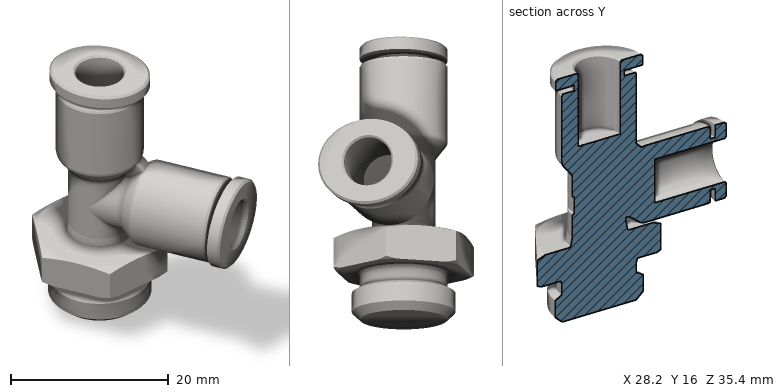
import cadquery as cq
import math

total_height = 35.35
branch_height = 16.4
branch_reach = total_height - branch_height

thread_radius = 6.58
thread_chamfer_height = 1.0
thread_chamfer_width = 1.05
thread_top = 3.43
relief_bottom = 4.0
relief_radius = 5.6
relief_top = 5.5
relief_flare = 0.18

hex_bottom = 5.97
hex_top = 10.5
hex_flats = 16.0
hex_corner_radius = hex_flats / math.sqrt(3)
hex_top_circle = hex_flats / 2
hex_top_drop = 0.45
hex_bottom_circle = 8.63
hex_bottom_drop = 0.3

neck_radius = 4.03
neck_foot_radius = 4.25
neck_taper_top = 11.85
neck_fillet = 0.25

body_radius = 5.6
shoulder_depth = 12.55
shoulder_foot_depth = 14.53
shoulder_round = 1.0
body_end_depth = 2.37
body_chamfer_depth = 0.32
body_chamfer_width = 0.18
collar_radius = 3.75
flange_depth = 1.65
flange_long_radius = 6.5
flange_short_radius = 5.5
flange_chamfer = 0.3
bore_radius = 3.1
bore_chamfer = 0.25
bore_depth = 10.6

rib_thickness = 2.05
rib_root = 3.7
rib_edge_intercept = 11.8

recess_floor_distance = 3.7
recess_floor_height = 2.25
recess_mouth_height = 2.6


def fitting(length):
    """Fitting and neck on the Z axis, from Z = 0 up to its tip at Z = length."""
    slope_height = shoulder_foot_depth - shoulder_depth
    slope_angle = math.atan2(body_radius - neck_radius, slope_height)
    tangent = shoulder_round * math.tan(slope_angle / 2)
    tangent_out = tangent * math.sin(slope_angle)
    tangent_up = tangent * math.cos(slope_angle)
    shoulder_foot = length - shoulder_foot_depth
    shoulder = length - shoulder_depth
    body_end = length - body_end_depth
    flange_bottom = length - flange_depth

    barrel = (
        cq.Workplane("XZ")
        .lineTo(neck_radius, 0)
        .lineTo(neck_radius, shoulder_foot - tangent)
        .tangentArcPoint((neck_radius + tangent_out, shoulder_foot + tangent_up), relative=False)
        .lineTo(body_radius - tangent_out, shoulder - tangent_up)
        .tangentArcPoint((body_radius, shoulder + tangent), relative=False)
        .lineTo(body_radius, body_end - body_chamfer_depth)
        .lineTo(body_radius - body_chamfer_width, body_end)
        .lineTo(collar_radius, body_end)
        .lineTo(collar_radius, flange_bottom)
        .lineTo(0, flange_bottom)
        .close()
        .revolve(360, (0, 0, 0), (0, 1, 0))
    )
    flange = (
        cq.Workplane("XY")
        .workplane(offset=flange_bottom)
        .ellipse(flange_long_radius, flange_short_radius)
        .extrude(flange_depth)
        .faces(">Z")
        .edges()
        .chamfer(flange_chamfer)
    )
    bore = (
        cq.Workplane("XZ")
        .moveTo(0, length - bore_depth)
        .lineTo(bore_radius, length - bore_depth)
        .lineTo(bore_radius, length - bore_chamfer)
        .lineTo(bore_radius + bore_chamfer, length)
        .lineTo(0, length)
        .close()
        .revolve(360, (0, 0, 0), (0, 1, 0))
    )
    return barrel.union(flange).cut(bore)


def hexagon():
    """Hexagon whose corners are turned down by a cone at each end."""
    prism = (
        cq.Workplane("XY")
        .workplane(offset=hex_bottom)
        .polygon(6, 2 * hex_corner_radius)
        .extrude(hex_top - hex_bottom)
    )
    turned_blank = (
        cq.Workplane("XZ")
        .moveTo(0, hex_bottom)
        .lineTo(hex_bottom_circle, hex_bottom)
        .lineTo(hex_corner_radius, hex_bottom + hex_bottom_drop)
        .lineTo(hex_corner_radius, hex_top - hex_top_drop)
        .lineTo(hex_top_circle, hex_top)
        .lineTo(0, hex_top)
        .close()
        .revolve(360, (0, 0, 0), (0, 1, 0))
    )
    return prism.intersect(turned_blank)


def threaded_end():
    return (
        cq.Workplane("XZ")
        .lineTo(thread_radius - thread_chamfer_width, 0)
        .lineTo(thread_radius, thread_chamfer_height)
        .lineTo(thread_radius, thread_top)
        .lineTo(relief_radius, relief_bottom)
        .lineTo(relief_radius, relief_top)
        .lineTo(relief_radius + relief_flare, hex_bottom)
        .lineTo(0, hex_bottom)
        .close()
        .revolve(360, (0, 0, 0), (0, 1, 0))
    )


def neck_foot():
    """Taper from the neck down to a small concave fillet on the hexagon."""
    mid = neck_fillet * (1 - math.sqrt(0.5))
    return (
        cq.Workplane("XZ")
        .moveTo(0, hex_top)
        .lineTo(neck_foot_radius + neck_fillet, hex_top)
        .threePointArc(
            (neck_foot_radius + mid, hex_top + mid),
            (neck_foot_radius, hex_top + neck_fillet),
        )
        .lineTo(neck_radius, neck_taper_top)
        .lineTo(0, neck_taper_top)
        .close()
        .revolve(360, (0, 0, 0), (0, 1, 0))
    )


def rib():
    """Triangular web whose root lies inside both necks and whose free edge slopes at 45 degrees."""
    edge_end = rib_edge_intercept - rib_root
    return (
        cq.Workplane("XZ", origin=(0, 0, branch_height))
        .moveTo(rib_root, rib_root)
        .lineTo(edge_end, rib_root)
        .lineTo(rib_root, edge_end)
        .close()
        .extrude(rib_thickness / 2, both=True)
    )


def recess():
    """Flat-floored cut with sloping top and bottom, opening toward -X."""
    return (
        cq.Workplane("XZ", origin=(0, 0, branch_height))
        .moveTo(-recess_floor_distance, -recess_floor_height / 2)
        .lineTo(-recess_floor_distance, recess_floor_height / 2)
        .lineTo(-neck_radius, recess_mouth_height / 2)
        .lineTo(-neck_radius, -recess_mouth_height / 2)
        .close()
        .extrude(neck_radius, both=True)
    )


stem = fitting(total_height)
branch = (
    fitting(branch_reach)
    .rotate((0, 0, 0), (0, 0, 1), 90)
    .rotate((0, 0, 0), (0, 1, 0), 90)
    .translate((0, 0, branch_height))
)

result = (
    stem.union(hexagon())
    .union(threaded_end())
    .union(neck_foot())
    .union(branch)
    .union(rib())
    .cut(recess())
)